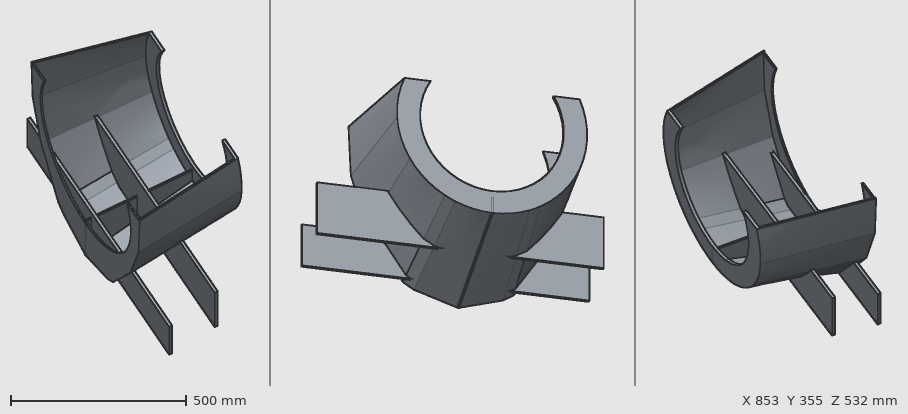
import cadquery as cq
import math

depth = 355.0
top_z = 111.0
wall = 6.0
plate = 10.0

front_corners = [(326.0, top_z), (319.0, -43.0), (270.0, -197.0), (165.0, -359.0), (132.0, -380.0), (0, -421.0)]
front_plate_drop = 5.0
front_hole_radius = 272.0

back_radius = 282.0
back_split_angles = [-3, -30, -60, -67, -90]
back_hole_radius = 213.0

keel_top_front = -259.0
keel_top_back = -233.0

bar_left = -382.0
bar_length = 853.0
rear_bar_length = 851.0
front_bar_y = 17.0
front_bar_bottom = -359.0
front_bar_top = -229.5
rear_bar_y = 166.0
rear_bar_bottom = -325.0
rear_bar_top = -165.0


def inset_corners(corners, distance):
    """Move each straight side of the half profile inward, keeping its top height."""
    lines = []
    for (x1, z1), (x2, z2) in zip(corners, corners[1:]):
        length = math.hypot(x2 - x1, z2 - z1)
        normal_x = (z2 - z1) / length
        normal_z = (x1 - x2) / length
        lines.append((normal_x, normal_z, normal_x * x1 + normal_z * z1 + distance))
    lines = [(0, 1, top_z)] + lines + [(1, 0, 0)]
    moved = []
    for (a1, b1, c1), (a2, b2, c2) in zip(lines, lines[1:]):
        det = a1 * b2 - a2 * b1
        moved.append(((c1 * b2 - c2 * b1) / det, (a1 * c2 - a2 * c1) / det))
    return moved


def mirrored(half):
    """Complete a half profile that ends on the centre plane."""
    return half + [(-x, z) for x, z in reversed(half[:-1])]


def front_wire(inset):
    points = [cq.Vector(x, 0, z) for x, z in mirrored(inset_corners(front_corners, inset))]
    return cq.Wire.makePolygon(points, close=True)


def back_wire(inset):
    radius = back_radius - inset
    half = [math.degrees(math.asin(top_z / radius))] + back_split_angles
    angles = half + [-180 - angle for angle in reversed(half[:-1])]

    def on_arc(angle):
        turn = math.radians(angle)
        return cq.Vector(radius * math.cos(turn), depth, radius * math.sin(turn))

    edges = [
        cq.Edge.makeThreePointArc(on_arc(start), on_arc((start + end) / 2), on_arc(end))
        for start, end in zip(angles, angles[1:])
    ]
    edges.append(cq.Edge.makeLine(on_arc(angles[-1]), on_arc(angles[0])))
    return cq.Wire.assembleEdges(edges)


def cradle_block(inset):
    """Solid blend from the cornered front profile to the round back profile."""
    return cq.Workplane(cq.Solid.makeLoft([front_wire(inset), back_wire(inset)], True))


def slab(x_min, x_max, y_min, y_max, z_min, z_max):
    size = (x_max - x_min, y_max - y_min, z_max - z_min)
    return cq.Workplane().box(*size, centered=False).translate((x_min, y_min, z_min))


def end_plate(block, y_start, thickness, plate_top, hole_radius):
    """Slice of the cradle block with a round opening on the axis."""
    half_width = bar_length
    slice_slab = slab(-half_width, half_width, y_start, y_start + thickness, -half_width, plate_top)
    hole = cq.Workplane("XZ", origin=(0, y_start + thickness, 0)).circle(hole_radius).extrude(thickness)
    return block.intersect(slice_slab).cut(hole)


def make_keel():
    """Upright centre rib along the bottom of the shell."""
    outline = [
        (0, front_corners[-1][1]),
        (depth, -back_radius),
        (depth, keel_top_back),
        (0, keel_top_front),
    ]
    return cq.Workplane("YZ").polyline(outline).close().extrude(wall / 2, both=True)


def make_cross_bar(length, y_start, bottom, top):
    return slab(bar_left, bar_left + length, y_start, y_start + plate, bottom, top)


def make_cradle(bars):
    block = cradle_block(0)
    cradle = block.cut(cradle_block(wall))
    cradle = cradle.union(end_plate(block, 0, wall, top_z - front_plate_drop, front_hole_radius))
    cradle = cradle.union(end_plate(block, depth - plate, plate, top_z, back_hole_radius))
    cradle = cradle.union(make_keel(), clean=False)
    for bar in bars:
        cradle = cradle.cut(bar, clean=False)
    return cradle


front_bar = make_cross_bar(bar_length, front_bar_y, front_bar_bottom, front_bar_top)
rear_bar = make_cross_bar(rear_bar_length, rear_bar_y, rear_bar_bottom, rear_bar_top)
cradle = make_cradle([front_bar, rear_bar])

result = cq.Compound.makeCompound([*cradle.vals(), front_bar.val(), rear_bar.val()])